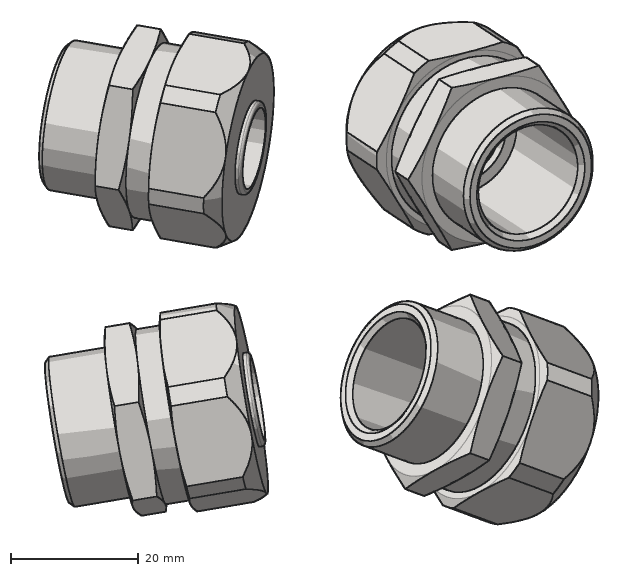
import cadquery as cq
import math


BODY_HEX_START = 10.0
BODY_HEX_END = 15.0
NUT_START = 19.0
NUT_END = 31.0
TOTAL_LENGTH = 32.0

SPIGOT_DIAMETER = 24.0
SPIGOT_CHAMFER = 0.75

BODY_HEX_FLATS = 28.0
NUT_FLATS = 30.0
NUT_CORNER_DIAMETER = 33.0
SHALLOW_BEVEL_ANGLE = 15.0
STEEP_BEVEL_ANGLE = 60.0

COLLAR_DIAMETER = BODY_HEX_FLATS

RING_DIAMETER = 15.0
RING_EDGE_RADIUS = 0.5

BORE_DIAMETER = 18.38
BORE_MOUTH_DIAMETER = 20.0
BORE_DEPTH = NUT_START
CABLE_HOLE_DIAMETER = 13.0
CABLE_HOLE_CHAMFER = 0.7


def cylinder(diameter, start, end):
    """Cylinder along X between two positions."""
    return cq.Workplane("YZ", origin=(start, 0, 0)).circle(diameter / 2).extrude(end - start)


def hexagon(flats, start, end):
    """Hexagonal bar along X with corners on +Y and -Y."""
    corner_diameter = flats / math.cos(math.pi / 6)
    return cq.Workplane("YZ", origin=(start, 0, 0)).polygon(6, corner_diameter).extrude(end - start)


def bevelled_hexagon(flats, corner_diameter, start, end, start_angle, end_angle):
    """Hexagonal bar whose corners are turned to a diameter and bevelled down to the flats at both ends."""
    end_radius = flats / 2
    corner_radius = corner_diameter / 2
    bevel_height = corner_radius - end_radius
    start_bevel = bevel_height * math.tan(math.radians(start_angle))
    end_bevel = bevel_height * math.tan(math.radians(end_angle))
    envelope = (
        cq.Workplane("XY")
        .moveTo(start, 0)
        .lineTo(start, end_radius)
        .lineTo(start + start_bevel, corner_radius)
        .lineTo(end - end_bevel, corner_radius)
        .lineTo(end, end_radius)
        .lineTo(end, 0)
        .close()
        .revolve(360, (0, 0, 0), (1, 0, 0))
    )
    return hexagon(flats, start, end).intersect(envelope)


def threaded_spigot():
    spigot = cylinder(SPIGOT_DIAMETER, 0, BODY_HEX_START)
    return spigot.faces("<X").chamfer(SPIGOT_CHAMFER)


def body_hexagon():
    sharp_corner_diameter = BODY_HEX_FLATS / math.cos(math.pi / 6)
    return bevelled_hexagon(
        BODY_HEX_FLATS,
        sharp_corner_diameter,
        BODY_HEX_START,
        BODY_HEX_END,
        SHALLOW_BEVEL_ANGLE,
        SHALLOW_BEVEL_ANGLE,
    )


def collar():
    return cylinder(COLLAR_DIAMETER, BODY_HEX_END, NUT_START)


def nut():
    return bevelled_hexagon(
        NUT_FLATS,
        NUT_CORNER_DIAMETER,
        NUT_START,
        NUT_END,
        SHALLOW_BEVEL_ANGLE,
        STEEP_BEVEL_ANGLE,
    )


def sealing_ring():
    ring = cylinder(RING_DIAMETER, NUT_END, TOTAL_LENGTH)
    return ring.faces(">X").edges().fillet(RING_EDGE_RADIUS)


def stepped_bore():
    """Wide bore with a chamfered mouth, then a chamfered step down to the cable hole."""
    bore_radius = BORE_DIAMETER / 2
    mouth_radius = BORE_MOUTH_DIAMETER / 2
    hole_radius = CABLE_HOLE_DIAMETER / 2
    return (
        cq.Workplane("XY")
        .moveTo(0, 0)
        .lineTo(0, mouth_radius)
        .lineTo(mouth_radius - bore_radius, bore_radius)
        .lineTo(BORE_DEPTH, bore_radius)
        .lineTo(BORE_DEPTH, hole_radius + CABLE_HOLE_CHAMFER)
        .lineTo(BORE_DEPTH + CABLE_HOLE_CHAMFER, hole_radius)
        .lineTo(TOTAL_LENGTH, hole_radius)
        .lineTo(TOTAL_LENGTH, 0)
        .close()
        .revolve(360, (0, 0, 0), (1, 0, 0))
    )


gland = threaded_spigot()
for section in (body_hexagon(), collar(), nut(), sealing_ring()):
    gland = gland.union(section)

result = gland.cut(stepped_bore())